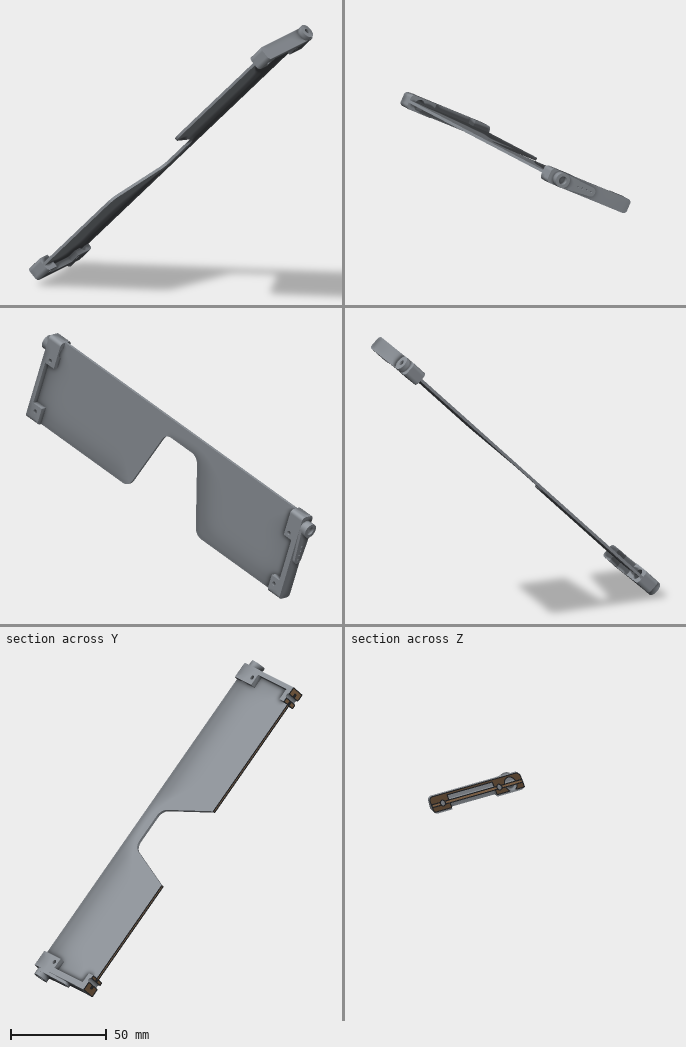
import cadquery as cq
import math

TILT = -45.0

WIDTH = 50.0
UPPER_CLIP_END = 97.5
LOWER_CLIP_END = -96.4
KNOB_END = 100.5

CLIP_LENGTH = 9.0
CLIP_THICKNESS = 8.0
CLIP_EDGE_RADIUS = 2.0
CLIP_END_WALL = 2.0
WINDOW_WALL = 2.5
LONG_TAB = 15.4
SHORT_TAB = 9.9
PIN_HOLE_DIAMETER = 2.4
PIN_HOLE_FROM_MOUTH = 3.7
PIN_HOLE_FROM_PLUS_Y = 12.7
PIN_HOLE_FROM_MINUS_Y = 6.2
BORE_DIAMETER = 6.0
LOWER_CLIP_SHIFT = 0.7

SHIELD_THICKNESS = 1.5
NOTCH_CENTRE = -3.8
NOTCH_TOP_WIDTH = 24.0
NOTCH_MOUTH_WIDTH = 51.6
NOTCH_DEPTH = 40.4
NOTCH_RADIUS = 5.9

KNOB_RADIUS = CLIP_THICKNESS / 2
KNOB_Y = WIDTH / 2 - 6.5
STUD_HOLE_DIAMETER = 3.0
KNOB_HOLE_DIAMETER = 4.5
KNOB_HOLE_DEPTH = 3.1
LEVER_THICKNESS = 1.6
LEVER_REACH = 19.0
LEVER_TIP_RADIUS = 2.5
LEVER_HOLE_COUNT = 4
LEVER_HOLE_PITCH = 2.7
LEVER_HOLE_DIAMETER = 1.0

UPPER_MOUTH = UPPER_CLIP_END - CLIP_LENGTH
LOWER_MOUTH = LOWER_CLIP_END + CLIP_LENGTH
PIN_HOLE_YS = (WIDTH / 2 - PIN_HOLE_FROM_PLUS_Y, PIN_HOLE_FROM_MINUS_Y - WIDTH / 2)


def box_between(x_range, y_range, thickness):
    """Box spanning two ranges, centred on the mid-plane of the shield."""
    (x_low, x_high), (y_low, y_high) = x_range, y_range
    box = cq.Workplane("XY").box(x_high - x_low, y_high - y_low, thickness)
    return box.translate(((x_low + x_high) / 2, (y_low + y_high) / 2, 0))


def rod(diameter, x_start, x_end, y=KNOB_Y):
    """Round rod along X on the mid-plane of the shield."""
    return cq.Workplane("YZ", origin=(x_start, y, 0)).circle(diameter / 2).extrude(x_end - x_start)


def pin_drills(x):
    """Drills for the two pin holes of one clip."""
    points = [(x, y) for y in PIN_HOLE_YS]
    drills = cq.Workplane("XY").pushPoints(points).circle(PIN_HOLE_DIAMETER / 2)
    return drills.extrude(CLIP_THICKNESS, both=True)


def make_clip(shift=0):
    """Clip with its mouth at X = 0 and its outer face at X = CLIP_LENGTH.

    The slot floor, window and pin holes are moved towards the mouth by shift.
    """
    half = WIDTH / 2
    clip = box_between((0, CLIP_LENGTH), (-half, half), CLIP_THICKNESS)
    clip = clip.edges("|X").fillet(CLIP_EDGE_RADIUS)
    slot_floor = CLIP_LENGTH - CLIP_END_WALL - shift
    window_edge = CLIP_LENGTH - WINDOW_WALL - shift
    slot = box_between((0, slot_floor), (-half, half), SHIELD_THICKNESS)
    window = box_between((0, window_edge), (SHORT_TAB - half, half - LONG_TAB), CLIP_THICKNESS)
    bore = rod(BORE_DIAMETER, 0, slot_floor)
    return clip.cut(slot).cut(window).cut(bore).cut(pin_drills(PIN_HOLE_FROM_MOUTH - shift))


def make_upper_clip():
    """Clip at the +X end, with a hollow stud on its outer face."""
    clip = make_clip().translate((UPPER_MOUTH, 0, 0))
    stud = rod(2 * KNOB_RADIUS, UPPER_CLIP_END, KNOB_END)
    return clip.union(stud).cut(rod(STUD_HOLE_DIAMETER, UPPER_CLIP_END, KNOB_END))


def make_lower_clip():
    """Plain clip at the -X end, facing the other way."""
    return make_clip(LOWER_CLIP_SHIFT).mirror("YZ").translate((LOWER_MOUTH, 0, 0))


def make_shield():
    """Flat shield with a tapered notch, reaching the slot floor of both clips."""
    half = WIDTH / 2
    low_end = LOWER_CLIP_END + CLIP_END_WALL + LOWER_CLIP_SHIFT
    high_end = UPPER_CLIP_END - CLIP_END_WALL
    shield = box_between((low_end, high_end), (-half, half), SHIELD_THICKNESS)
    notch_top = NOTCH_DEPTH - half
    notch = (
        cq.Workplane("XY", origin=(NOTCH_CENTRE, 0, -SHIELD_THICKNESS / 2))
        .moveTo(-NOTCH_MOUTH_WIDTH / 2, -half)
        .lineTo(-NOTCH_TOP_WIDTH / 2, notch_top)
        .lineTo(NOTCH_TOP_WIDTH / 2, notch_top)
        .lineTo(NOTCH_MOUTH_WIDTH / 2, -half)
        .close()
        .extrude(SHIELD_THICKNESS)
    )
    shield = shield.cut(notch)
    between_clips = cq.selectors.BoxSelector((LOWER_MOUTH, -WIDTH, -WIDTH), (UPPER_MOUTH, WIDTH, WIDTH))
    shield = shield.edges("|Z").edges(between_clips).fillet(NOTCH_RADIUS)
    shield = shield.cut(pin_drills(UPPER_MOUTH + PIN_HOLE_FROM_MOUTH))
    return shield.cut(pin_drills(LOWER_MOUTH - PIN_HOLE_FROM_MOUTH + LOWER_CLIP_SHIFT))


def make_lever():
    """Tapered arm lying on the lower clip, with a hollow knob at its +Y end."""
    tip_y = KNOB_Y - LEVER_REACH
    slope = (KNOB_RADIUS - LEVER_TIP_RADIUS) / LEVER_REACH
    across = math.sqrt(1 - slope**2)
    knob_y, knob_z = KNOB_Y - KNOB_RADIUS * slope, KNOB_RADIUS * across
    side_y, side_z = tip_y - LEVER_TIP_RADIUS * slope, LEVER_TIP_RADIUS * across
    arm = (
        cq.Workplane("YZ", origin=(LOWER_CLIP_END, 0, 0))
        .moveTo(knob_y, knob_z)
        .lineTo(side_y, side_z)
        .threePointArc((tip_y - LEVER_TIP_RADIUS, 0), (side_y, -side_z))
        .lineTo(knob_y, -knob_z)
        .threePointArc((KNOB_Y + KNOB_RADIUS, 0), (knob_y, knob_z))
        .close()
        .extrude(-LEVER_THICKNESS)
    )
    lever = arm.union(rod(2 * KNOB_RADIUS, LOWER_CLIP_END, -KNOB_END))
    lever = lever.cut(rod(KNOB_HOLE_DIAMETER, -KNOB_END, KNOB_HOLE_DEPTH - KNOB_END))
    arm_face = LOWER_CLIP_END - LEVER_THICKNESS
    for index in range(LEVER_HOLE_COUNT):
        hole_y = tip_y + index * LEVER_HOLE_PITCH
        lever = lever.cut(rod(LEVER_HOLE_DIAMETER, LOWER_CLIP_END, arm_face, hole_y))
    return lever


def tilted(body):
    """Solid of a flat-laid body, swung to its final slope."""
    return body.rotate((0, 0, 0), (0, 1, 0), TILT).val()


shield = make_shield()
upper_clip = make_upper_clip()
lower_clip = make_lower_clip()
lever = make_lever()

result = cq.Compound.makeCompound([tilted(body) for body in (shield, upper_clip, lower_clip, lever)])